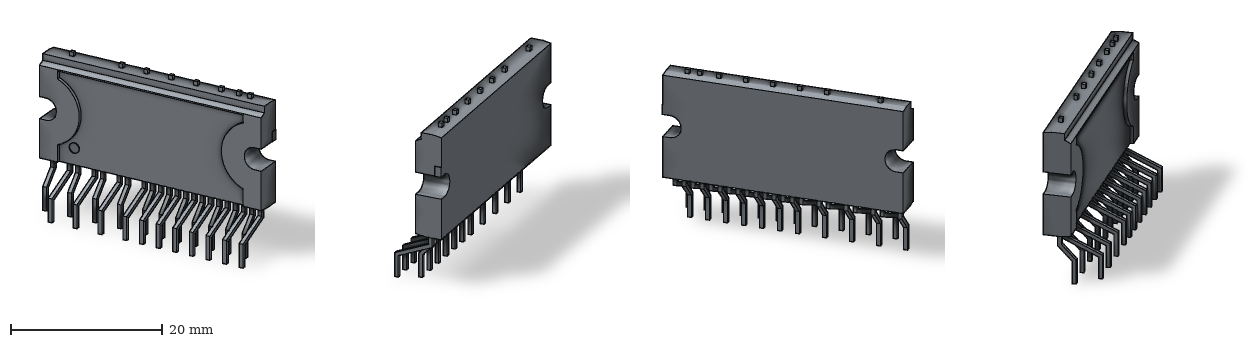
import cadquery as cq
import math


body_width = 33.93
body_depth = 3.8
body_height = 15.0
draft_rise = 0.2
step_depth = 2.95
step_height = 14.05
front_top = 13.65

notch_radius = 1.6
notch_center_x = 15.98
notch_center_z = body_height / 2
panel_half_width = 14.2
panel_top = 13.43
panel_recess = 0.5
land_radius = 5.1

mark_radius = 0.75
mark_depth = 0.15
mark_x = -11.97
mark_z = 2.55

gate_thickness = 0.07
gate_depth = 0.95
gate_height = 1.43

slot_count = 26
row_length = 31.75
pitch = row_length / (slot_count - 1)
lead_width = 0.58
lead_thickness = 0.55
lead_back = 1.75
lead_front = lead_back + lead_thickness
lead_length = 7.0
embed = 0.35
lower_bend = 3.55
short_reach = 4.32
short_upper_bend = 1.45
long_reach = 7.25
long_upper_bend = 1.4
short_slots = [0, 3, 6, 9] + list(range(12, slot_count, 2))
long_slots = [2, 5, 8] + list(range(11, slot_count, 2))

stub_height = 0.6
stub_back = lead_back - lead_thickness
regular_stub_slots = [8, 11, 14, 17, 20]
left_stub_x = -13.25
right_stub_xs = [12.25, 13.97]


def slot_x(slot):
    """X of a lead slot, with the row centred on the body."""
    return (slot - (slot_count - 1) / 2) * pitch


def make_body():
    """Side profile with a stepped, bevelled top front corner, extruded to full width."""
    outline = [
        (0, 0),
        (-lead_front, 0),
        (-body_depth, draft_rise),
        (-body_depth, front_top),
        (-step_depth, step_height),
        (-step_depth, body_height),
        (-stub_back, body_height),
        (0, body_height - draft_rise),
    ]
    return cq.Workplane("YZ").polyline(outline).close().extrude(body_width / 2, both=True)


def front_cylinder(x, z, radius):
    """Cylinder along Y through the whole depth of the body."""
    return cq.Workplane("XZ", origin=(x, 0, z)).circle(radius).extrude(body_depth)


def make_notch(side):
    """Round-bottomed slot, open at the end of the body."""
    slot_length = body_width / 2 - notch_center_x + gate_thickness
    slot = cq.Workplane("XY").box(slot_length, body_depth, 2 * notch_radius).translate(
        (side * (notch_center_x + slot_length / 2), -body_depth / 2, notch_center_z)
    )
    return slot.union(front_cylinder(side * notch_center_x, notch_center_z, notch_radius))


def make_panel_pocket():
    """Front recess, open at the bottom, that leaves round lands beside the notches."""
    pocket = cq.Workplane("XY").box(
        2 * panel_half_width, panel_recess, panel_top, centered=(True, False, False)
    ).translate((0, -body_depth, 0))
    for side in (-1, 1):
        pocket = pocket.cut(front_cylinder(side * notch_center_x, notch_center_z, land_radius))
    return pocket


def make_pin_mark():
    panel_y = -(body_depth - panel_recess)
    disc = cq.Workplane("XZ", origin=(mark_x, panel_y, mark_z)).circle(mark_radius)
    return disc.extrude(-mark_depth)


def make_gate():
    return cq.Workplane("XY").box(
        gate_thickness, gate_depth, gate_height, centered=False
    ).translate((body_width / 2, -gate_depth, notch_center_z + notch_radius))


def make_lead(x, reach, upper_bend):
    """Lead that drops from the body, slants forward, then drops again."""
    slant_from_vertical = math.atan2(reach - lead_front, lower_bend - upper_bend)
    miter_drop = lead_thickness * math.tan(slant_from_vertical / 2)
    back_reach = reach - lead_thickness
    outline = [
        (-lead_front, embed),
        (-lead_front, -upper_bend),
        (-reach, -lower_bend),
        (-reach, -lead_length),
        (-back_reach, -lead_length),
        (-back_reach, -lower_bend - miter_drop),
        (-lead_back, -upper_bend - miter_drop),
        (-lead_back, embed),
    ]
    plane = cq.Workplane("YZ", origin=(x, 0, 0))
    return plane.polyline(outline).close().extrude(lead_width / 2, both=True)


def make_stub(x):
    """Cut-off tie bar that stands on the top face, just behind the plane of the leads."""
    return cq.Workplane("XY").box(
        lead_width, lead_thickness, embed + stub_height, centered=(True, False, False)
    ).translate((x, -lead_back, body_height - embed))


result = make_body()
for end in (-1, 1):
    result = result.cut(make_notch(end))
result = result.cut(make_panel_pocket()).cut(make_pin_mark())
result = result.union(make_gate())

for slot in short_slots:
    result = result.union(make_lead(slot_x(slot), short_reach, short_upper_bend))
for slot in long_slots:
    result = result.union(make_lead(slot_x(slot), long_reach, long_upper_bend))

stub_xs = [left_stub_x] + [slot_x(slot) for slot in regular_stub_slots] + right_stub_xs
for stub_x in stub_xs:
    result = result.union(make_stub(stub_x))